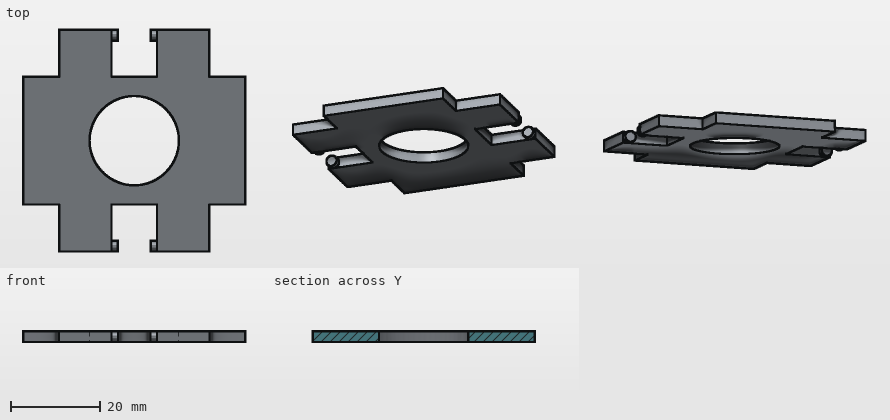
import cadquery as cq

side = 49.81
thickness = 2.5
body_width = 28.7
bore_diameter = 20.0

arm_outer_x = 16.85
arm_inner_x = 5.1

pin_diameter = thickness
pin_length = 1.45


def plate():
    """Flat body with two arms on each Y edge and a central bore."""
    body = cq.Workplane("XY").box(side, body_width, thickness)
    arms = cq.Workplane("XY").box(2 * arm_outer_x, side, thickness)
    gap_depth = (side - body_width) / 2
    gap_center_y = (side + body_width) / 4
    gaps = (
        cq.Workplane("XY")
        .pushPoints([(0, gap_center_y), (0, -gap_center_y)])
        .box(2 * arm_inner_x, gap_depth, thickness)
    )
    blank = body.union(arms).cut(gaps)
    return blank.faces(">Z").workplane(origin=(0, 0, 0)).hole(bore_diameter)


def pin(side_x, side_y):
    """Pin along X from an arm's inner face, flush with the arm's end."""
    center_y = side_y * (side - pin_diameter) / 2
    return (
        cq.Workplane("YZ", origin=(side_x * arm_inner_x, center_y, 0))
        .circle(pin_diameter / 2)
        .extrude(-side_x * pin_length)
    )


result = plate()
for side_x in (-1, 1):
    for side_y in (-1, 1):
        result = result.union(pin(side_x, side_y))